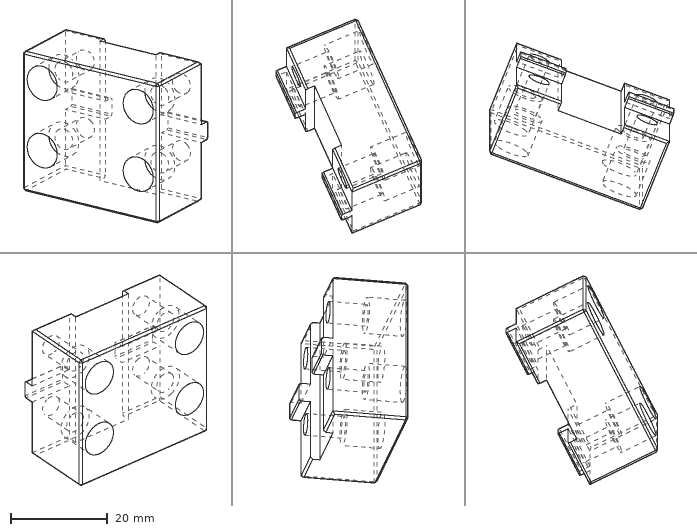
import cadquery as cq

width = 34.0
height = 31.0
total_depth = 18.4
key_projection = 2.4
body_depth = total_depth - key_projection
edge_chamfer = 0.5

key_height = 4.0
key_center_z = 15.0
key_chamfer = 0.35

slot_width = 14.0
slot_depth_in_body = 2.0
slot_depth = slot_depth_in_body + key_projection

hole_diameter = 4.5
counterbore_diameter = 7.5
counterbore_depth = body_depth / 2
hole_edge_x = 5.0
hole_spacing_x = 24.0
hole_top_offset = 6.0
hole_spacing_z = 15.0


def make_body():
    """Block with its front, top and bottom edges chamfered; vertical back edges stay sharp."""
    block = cq.Workplane("XY").box(width, body_depth, height, centered=False)
    return block.edges("<Y or <Z or >Z").chamfer(edge_chamfer)


def make_key():
    """Full-width bar behind the body, with its two long outer edges chamfered."""
    bar = cq.Workplane("XY").box(width, key_projection, key_height, centered=False)
    bar = bar.faces(">Y").edges("|X").chamfer(key_chamfer)
    return bar.translate((0, body_depth, key_center_z - key_height / 2))


def make_slot():
    """Cutter for the open slot, running the full height at mid width."""
    cutter = cq.Workplane("XY").box(slot_width, slot_depth, height, centered=False)
    return cutter.translate(((width - slot_width) / 2, total_depth - slot_depth, 0))


def make_holes():
    """Cutter for the four through holes counterbored from the front face."""
    top_z = height - hole_top_offset
    centers = [
        (x, z)
        for x in (hole_edge_x, hole_edge_x + hole_spacing_x)
        for z in (top_z - hole_spacing_z, top_z)
    ]
    front = cq.Workplane("XZ").pushPoints(centers)
    through = front.circle(hole_diameter / 2).extrude(-body_depth)
    counterbores = front.circle(counterbore_diameter / 2).extrude(-counterbore_depth)
    return through.union(counterbores)


result = make_body().union(make_key()).cut(make_slot()).cut(make_holes())